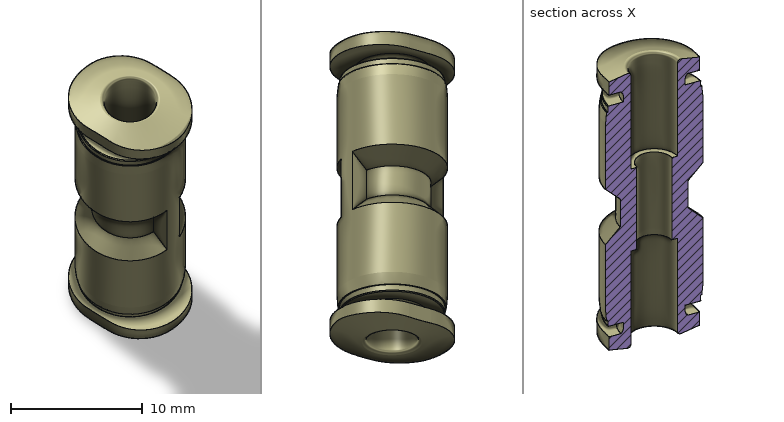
import cadquery as cq
import math

LENGTH = 24.5
FLANGE_LENGTH = 9.8
FLANGE_WIDTH = 7.8
BODY_DIAMETER = 8.4
HALF_LENGTH = LENGTH / 2
BODY_RADIUS = BODY_DIAMETER / 2

FLANGE_THICKNESS = 1.52
FLAT_FACE_DIAMETER = 4.55
CROWN_DROP = 0.5
RIM_ROUND = 0.22
CROWN_OVERHANG = 0.012
NECK_RADIUS = 5.37 / 2
NECK_FLARE = 0.2
FLARE_HEIGHT = 0.4

COLLAR_RADIUS = 8.0 / 2
COLLAR_DEPTH = 2.43
SHOULDER_DEPTH = 2.96
ROUNDING_DEPTH = 3.92
SHOULDER_INSET = 0.1
COLLAR_CHAMFER = 0.07

WAIST_HALF_HEIGHT = 2.45
WAIST_FLOOR_HALF_HEIGHT = 1.22
WAIST_RADIUS = 2.95
WEB_THICKNESS = 1.57

BORE_DIAMETER = 3.0
SOCKET_DIAMETER = 3.97
SOCKET_DEPTH = 8.58
MOUTH_ROUND = (FLAT_FACE_DIAMETER - SOCKET_DIAMETER) / 2


def revolve_profile(points):
    """Solid of revolution about Z from (radius, height) points."""
    return cq.Workplane("XZ").polyline(points).close().revolve(360, (0, 0), (0, 1))


def make_body():
    """Plain cylinder between the two collar end faces."""
    return cq.Workplane("XY").cylinder(LENGTH - 2 * COLLAR_DEPTH, BODY_RADIUS)


def make_shoulder_cut():
    """Ring removed at the upper end, leaving a gently rounded shoulder and a chamfered collar."""
    collar_top = HALF_LENGTH - COLLAR_DEPTH
    shoulder = HALF_LENGTH - SHOULDER_DEPTH
    rounding_base = HALF_LENGTH - ROUNDING_DEPTH
    arc_middle = (BODY_RADIUS - SHOULDER_INSET / 4, (rounding_base + shoulder) / 2)
    return (
        cq.Workplane("XZ")
        .moveTo(BODY_RADIUS, collar_top)
        .lineTo(BODY_RADIUS, rounding_base)
        .threePointArc(arc_middle, (BODY_RADIUS - SHOULDER_INSET, shoulder))
        .lineTo(COLLAR_RADIUS, shoulder)
        .lineTo(COLLAR_RADIUS, collar_top - COLLAR_CHAMFER)
        .lineTo(COLLAR_RADIUS - COLLAR_CHAMFER, collar_top)
        .close()
        .revolve(360, (0, 0), (0, 1))
    )


def make_waist_cut():
    """V-sided groove around the body, interrupted by the web."""
    groove = revolve_profile([
        (BODY_RADIUS, WAIST_HALF_HEIGHT),
        (WAIST_RADIUS, WAIST_FLOOR_HALF_HEIGHT),
        (WAIST_RADIUS, -WAIST_FLOOR_HALF_HEIGHT),
        (BODY_RADIUS, -WAIST_HALF_HEIGHT),
    ])
    web = cq.Workplane("XY").box(BODY_DIAMETER, WEB_THICKNESS, 2 * WAIST_HALF_HEIGHT)
    return groove.cut(web)


def make_release_ring():
    """Upper ring: oblong flange with a conical crown, on a flared neck."""
    flange_base = HALF_LENGTH - FLANGE_THICKNESS
    rim_radius = FLANGE_LENGTH / 2 + CROWN_OVERHANG
    crown_edge = HALF_LENGTH - CROWN_DROP
    crown = revolve_profile([
        (0, flange_base),
        (rim_radius, flange_base),
        (rim_radius, crown_edge),
        (FLAT_FACE_DIAMETER / 2, HALF_LENGTH),
        (0, HALF_LENGTH),
    ])
    crown = crown.edges(cq.selectors.RadiusNthSelector(-1)).edges(">Z").fillet(RIM_ROUND)
    oblong = (
        cq.Workplane("XY", origin=(0, 0, flange_base))
        .slot2D(FLANGE_LENGTH, FLANGE_WIDTH)
        .extrude(FLANGE_THICKNESS)
    )
    neck_base = HALF_LENGTH - COLLAR_DEPTH
    neck = (
        cq.Workplane("XZ")
        .moveTo(0, neck_base)
        .lineTo(NECK_RADIUS, neck_base)
        .lineTo(NECK_RADIUS, flange_base - FLARE_HEIGHT)
        .tangentArcPoint((NECK_RADIUS + NECK_FLARE, flange_base), relative=False)
        .lineTo(0, flange_base)
        .close()
        .revolve(360, (0, 0), (0, 1))
    )
    return crown.intersect(oblong).union(neck)


def make_socket():
    """Upper tube socket with a rounded mouth."""
    socket_radius = SOCKET_DIAMETER / 2
    mouth_base = HALF_LENGTH - MOUTH_ROUND
    arc_offset = MOUTH_ROUND * (1 - math.sqrt(0.5))
    return (
        cq.Workplane("XZ")
        .moveTo(0, HALF_LENGTH - SOCKET_DEPTH)
        .lineTo(socket_radius, HALF_LENGTH - SOCKET_DEPTH)
        .lineTo(socket_radius, mouth_base)
        .threePointArc(
            (socket_radius + arc_offset, HALF_LENGTH - arc_offset),
            (socket_radius + MOUTH_ROUND, HALF_LENGTH),
        )
        .lineTo(0, HALF_LENGTH)
        .close()
        .revolve(360, (0, 0), (0, 1))
    )


ring = make_release_ring()
socket = make_socket()
bore = cq.Workplane("XY").cylinder(LENGTH, BORE_DIAMETER / 2)

shoulder_cut = make_shoulder_cut()
result = make_body().cut(shoulder_cut).cut(shoulder_cut.mirror("XY")).cut(make_waist_cut())
result = result.union(ring).union(ring.mirror("XY"))
result = result.cut(socket).cut(socket.mirror("XY")).cut(bore)